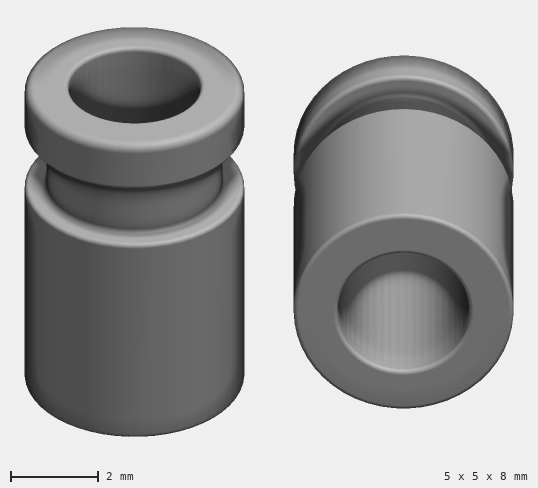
import cadquery as cq

height = 8.0
outer_diameter = 5.0
bore_diameter = 3.0

neck_diameter = 4.0
collar_height = 1.2
neck_height = 1.5
neck_top = height - collar_height
neck_bottom = neck_top - neck_height

top_rim_radius = 0.2
small_radius = top_rim_radius / 2

outer_radius = outer_diameter / 2
neck_radius = neck_diameter / 2
bore_radius = bore_diameter / 2


def circle_edges(body, radius, z):
    """Select the circular edge of the given radius at height z."""
    margin = 0.01
    reach = radius + margin
    inner = radius - margin
    large = cq.selectors.BoxSelector(
        (-reach, -reach, z - margin), (reach, reach, z + margin), boundingbox=True
    )
    small = cq.selectors.BoxSelector(
        (-inner, -inner, z - margin), (inner, inner, z + margin), boundingbox=True
    )
    return body.edges(large - small)


profile = (
    cq.Workplane("XZ")
    .moveTo(bore_radius, 0)
    .lineTo(outer_radius, 0)
    .lineTo(outer_radius, neck_bottom)
    .lineTo(neck_radius, neck_bottom)
    .lineTo(neck_radius, neck_top)
    .lineTo(outer_radius, neck_top)
    .lineTo(outer_radius, height)
    .lineTo(bore_radius, height)
    .close()
)
result = profile.revolve(360, (0, 0, 0), (0, 1, 0))

rounded_edges = [
    (outer_radius, height, top_rim_radius),
    (outer_radius, neck_top, small_radius),
    (neck_radius, neck_top, small_radius),
    (neck_radius, neck_bottom, small_radius),
    (outer_radius, neck_bottom, small_radius),
    (outer_radius, 0, small_radius),
    (bore_radius, height, small_radius),
    (bore_radius, 0, small_radius),
]
for edge_radius, edge_height, fillet_radius in rounded_edges:
    result = circle_edges(result, edge_radius, edge_height).fillet(fillet_radius)